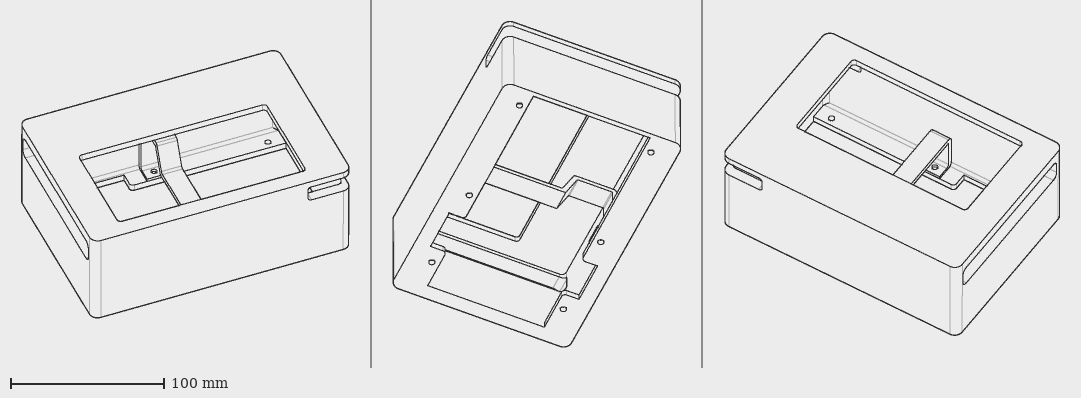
import cadquery as cq
import math

width = 127.1
length = 182.9
height = 68.2
corner_radius = 5.9
side_wall = 7.1
front_wall = 10.2
back_wall = 3.3
top_thickness = 4.8
inner_corner_radius = 3.3
side_skew_angle = 0.29
side_tilt_angle = 0.15

skew_slope = math.tan(math.radians(side_skew_angle))
tilt_slope = math.tan(math.radians(side_tilt_angle))
inner_width = width - 2 * side_wall
inner_front = front_wall - length / 2
inner_back = length / 2 - back_wall

window_left = -17.4
window_right = 52.0
window_front = -68.4
window_back = 64.0
window_radius = 2.5

slot_top = height - 7.9
slot_bottom = height - 23.5
slot_width = 112.7
slot_radius = 4.0

notch_height = 11.5
notch_depth = 31.0
notch_radius = 2.5
notch_top = height - top_thickness

ledge_height = 4.8
ledge_inner_x = 41.7
gap_outer_x = 53.0
gap_front = -51.2
gap_back = -21.4
ledge_radius = 2.5
ledge_fillet = 2.0
hole_diameter = 4.0
hole_x = 47.0
ledge_hole_ys = (-62.7, 77.5)

strap_span = 111.5
strap_width = 14.3
strap_y = -2.7
strap_thickness = 3.5
strap_high_top = 52.0
strap_low_top = 33.3
foot_thickness = 2.0
slope_start_x = -24.9
slope_angle = 24.3
outer_bend_radius = 3.3
inner_bend_radius = 0.7
foot_bend_radius = 2.0
slope_bend_radius = 2.0


def box_between(x0, x1, y0, y1, z0, z1):
    return cq.Workplane("XY", origin=(x0, y0, z0)).box(x1 - x0, y1 - y0, z1 - z0, centered=False)


def leaning_block(block_width, y0, y1, block_height, radius=0):
    """Block with optionally rounded upright edges whose sides follow the skew and tilt of the side walls."""
    half = block_width / 2
    shift = height * tilt_slope / 2
    corners = [(side * half - y * skew_slope - shift, y) for side, y in ((-1, y0), (1, y0), (1, y1), (-1, y1))]
    outline = cq.Workplane("XY").polyline(corners).close().val()
    if radius:
        outline = outline.fillet2D(radius, outline.Vertices())
    direction = cq.Vector(block_height * tilt_slope, 0, block_height)
    return cq.Workplane(cq.Solid.extrudeLinear(outline, [], direction))


def screw_holes(hole_ys, bottom, depth):
    points = [(side * hole_x, y) for side in (-1, 1) for y in hole_ys]
    return cq.Workplane("XY", origin=(0, 0, bottom)).pushPoints(points).circle(hole_diameter / 2).extrude(depth)


def make_cavity():
    """Space inside the walls, narrowed between the ledges at the bottom."""
    depth = height - top_thickness
    full = leaning_block(inner_width, inner_front, inner_back, depth, inner_corner_radius)
    above_ledges = box_between(-width, width, -length, length, ledge_height, height)
    side_filleted = leaning_block(inner_width, -length, length, depth).intersect(above_ledges)
    side_filleted = side_filleted.faces("<Z").edges("not |X").fillet(ledge_fillet)
    upper = full.intersect(side_filleted)
    opening = box_between(-ledge_inner_x, ledge_inner_x, inner_front, inner_back, 0, height / 2)
    gaps = box_between(-gap_outer_x, gap_outer_x, gap_front, gap_back, 0, height / 2)
    lower = opening.union(gaps)
    lower = lower.edges(
        cq.selectors.BoxSelector(
            (-ledge_inner_x - 0.2, gap_front - 0.2, -1.8), (ledge_inner_x + 0.2, gap_back + 0.2, height)
        )
    ).edges("|Z").fillet(ledge_radius)
    return upper.union(lower)


def make_housing():
    body = leaning_block(width, -length / 2, length / 2, height, corner_radius)
    body = body.cut(make_cavity())

    window = box_between(window_left, window_right, window_front, window_back, height / 2, height)
    body = body.cut(window.edges("|Z").fillet(window_radius))

    half_slot = slot_width / 2
    slot_end = inner_front + inner_corner_radius
    slot = box_between(-half_slot, half_slot, -length / 2, slot_end, slot_bottom, slot_top)
    body = body.cut(slot.edges("|Y").fillet(slot_radius))

    notch_end = length / 2 - notch_depth
    notch = box_between(-width, width, notch_end, length, notch_top - notch_height, notch_top)
    notch = notch.edges("|X and <Y").fillet(notch_radius)
    body = body.cut(notch.rotate((0, notch_end, 0), (0, notch_end, 1), side_skew_angle))

    return body.cut(screw_holes((*ledge_hole_ys, strap_y), 0, ledge_height))


def make_strap():
    """Bent strip: outer profile less the space beneath it and the opening between the feet."""
    back = strap_y + strap_width / 2
    half = strap_span / 2
    slope_run = (strap_high_top - strap_low_top) * math.tan(math.radians(slope_angle))
    slope_end_x = slope_start_x + slope_run
    inner_shift = strap_thickness * math.tan(math.radians(45 - slope_angle / 2))

    outside = (
        cq.Workplane("XZ", origin=(0, back, 0))
        .moveTo(-half, ledge_height)
        .lineTo(-half, strap_high_top)
        .lineTo(slope_start_x, strap_high_top)
        .lineTo(slope_end_x, strap_low_top)
        .lineTo(half, strap_low_top)
        .lineTo(half, ledge_height)
        .close()
        .extrude(strap_width)
        .edges("|Y and (<X or >X)")
        .fillet(outer_bend_radius)
        .edges(cq.NearestToPointSelector((slope_start_x, strap_y, strap_high_top)))
        .fillet(slope_bend_radius)
        .edges(cq.NearestToPointSelector((slope_end_x, strap_y, strap_low_top)))
        .fillet(slope_bend_radius)
    )
    inner_half = half - strap_thickness
    inside = (
        cq.Workplane("XZ", origin=(0, back, 0))
        .moveTo(-inner_half, ledge_height + foot_thickness)
        .lineTo(-inner_half, strap_high_top - strap_thickness)
        .lineTo(slope_start_x - inner_shift, strap_high_top - strap_thickness)
        .lineTo(slope_end_x - inner_shift, strap_low_top - strap_thickness)
        .lineTo(inner_half, strap_low_top - strap_thickness)
        .lineTo(inner_half, ledge_height + foot_thickness)
        .close()
        .extrude(strap_width)
        .faces("<Z")
        .edges("|Y")
        .fillet(foot_bend_radius)
        .faces(">Z")
        .edges("|Y")
        .fillet(inner_bend_radius)
    )
    between_feet = box_between(
        -ledge_inner_x, ledge_inner_x, back - strap_width, back, ledge_height, ledge_height + foot_thickness
    )
    strap = outside.cut(inside).cut(between_feet)
    return strap.cut(screw_holes((strap_y,), ledge_height, foot_thickness))


housing = make_housing()
strap = make_strap()
result = cq.Compound.makeCompound([housing.val(), strap.val()])